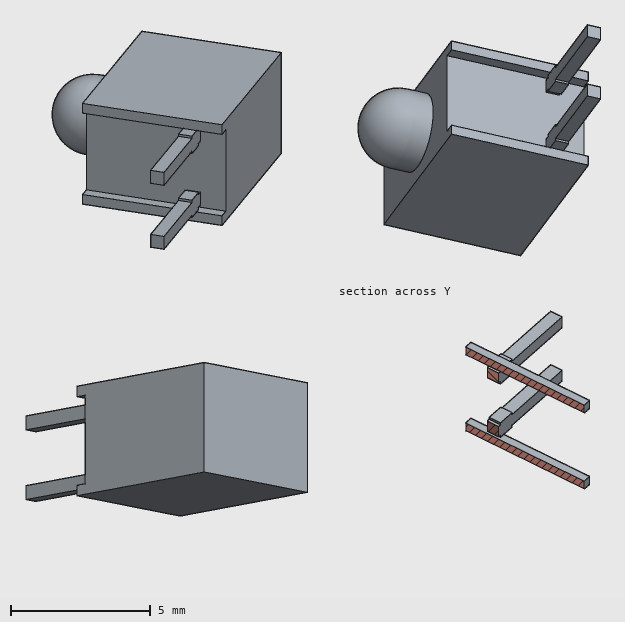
import cadquery as cq

housing_length = 5.3
housing_width = 6.36
housing_height = 4.0
flange_thickness = 0.38
recess_depth = 0.41

lens_diameter = 2.91
lens_projection = 2.2

lead_thickness = 0.51
lead_pitch = 2.54
lead_rear_offset = 1.22
lead_projection = 3.49
collar_height = 0.69
collar_length = 0.7
collar_gap = 0.21

lens_radius = lens_diameter / 2
flange_end_y = -housing_width / 2
recess_floor_y = flange_end_y + recess_depth
lead_x = housing_length - lead_rear_offset
lead_length = recess_depth + lead_projection


def make_housing():
    """Block with a recess between two flanges on its lead side."""
    block = cq.Workplane("XY").box(
        housing_length, housing_width, housing_height, centered=(False, True, True)
    )
    recess = (
        cq.Workplane("XY")
        .box(
            housing_length,
            recess_depth,
            housing_height - 2 * flange_thickness,
            centered=(False, False, True),
        )
        .translate((0, flange_end_y, 0))
    )
    return block.cut(recess)


def make_lens():
    """Domed lens seated flat on the housing, revolved about the X axis."""
    dome_start_x = -(lens_projection - lens_radius)
    dome_middle = lens_radius * 0.5 ** 0.5
    return (
        cq.Workplane("XY")
        .moveTo(0, 0)
        .lineTo(0, lens_radius)
        .lineTo(dome_start_x, lens_radius)
        .threePointArc((dome_start_x - dome_middle, dome_middle), (-lens_projection, 0))
        .close()
        .revolve(360, (0, 0, 0), (1, 0, 0))
    )


def make_lead(axis_z):
    """Lead standing on the recess floor and pointing along -Y."""
    pin = (
        cq.Workplane("XZ", origin=(lead_x, recess_floor_y, axis_z))
        .rect(lead_thickness, lead_thickness)
        .extrude(lead_length)
    )
    collar = (
        cq.Workplane("XZ", origin=(lead_x, recess_floor_y - collar_gap, axis_z))
        .rect(lead_thickness, collar_height)
        .extrude(collar_length)
    )
    return pin.union(collar)


housing = make_housing()
lens = make_lens()
leads = [make_lead(side * lead_pitch / 2) for side in (-1, 1)]

result = cq.Compound.makeCompound(
    [housing.val(), lens.val(), *[lead.val() for lead in leads]]
)